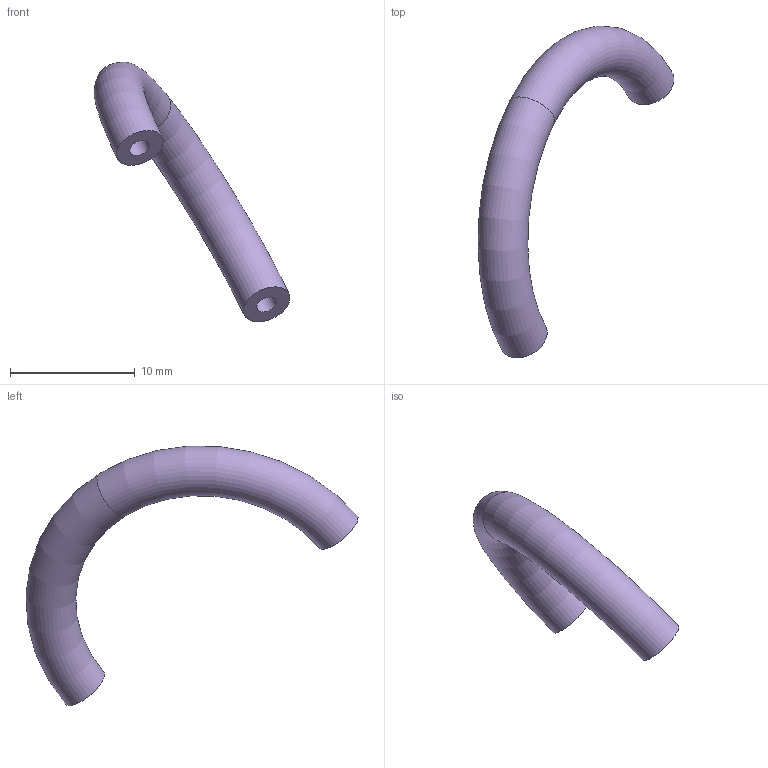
import cadquery as cq

BEND_RADIUS = 13.0
TUBE_DIAMETER = 4.0
BORE_DIAMETER = 1.7
QUARTER_TURN = 90.0

UPPER_END_DIRECTION = cq.Vector(-0.3921, -0.7828, 0.4832).normalized()
CROWN_HINT = cq.Vector(-0.3424, 0.6117, 0.7131)
BEND_AXIS = UPPER_END_DIRECTION.cross(CROWN_HINT).normalized()
CROWN_DIRECTION = BEND_AXIS.cross(UPPER_END_DIRECTION)


def quarter_bend(end_offset, turn):
    """Revolve the annular end face at end_offset from the bend centre through turn degrees."""
    end_plane = cq.Plane(
        origin=(UPPER_END_DIRECTION * end_offset).toTuple(),
        xDir=UPPER_END_DIRECTION.toTuple(),
        normal=CROWN_DIRECTION.toTuple(),
    )
    axis_start = (-end_offset, 0)
    axis_end = (-end_offset, -1 if turn > 0 else 1)
    return (
        cq.Workplane(end_plane)
        .circle(TUBE_DIAMETER / 2)
        .circle(BORE_DIAMETER / 2)
        .revolve(abs(turn), axis_start, axis_end)
    )


upper_half = quarter_bend(BEND_RADIUS, QUARTER_TURN)
lower_half = quarter_bend(-BEND_RADIUS, -QUARTER_TURN)
result = upper_half.union(lower_half)